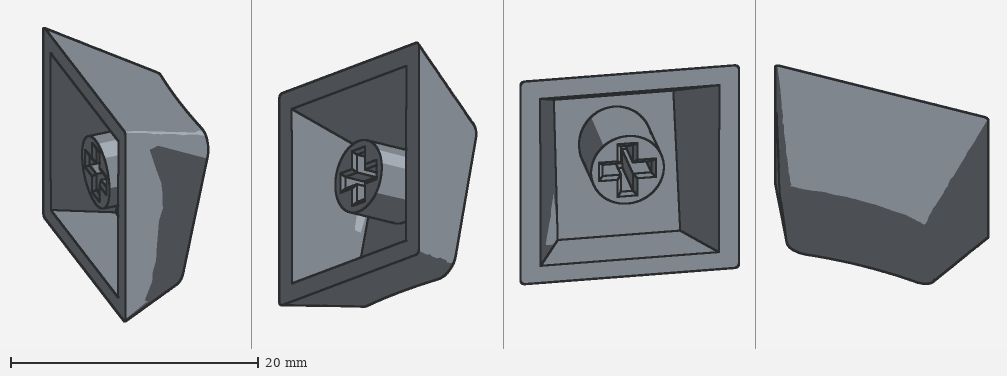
import cadquery as cq
import math

base_size = 18.0
base_corner_radius = 0.4

top_tilt = 11.6
top_width = 12.24
top_lower_z = -base_size / 2
top_upper_z = 4.9
top_lower_y = 5.9
top_corner_radius = 1.89
dish_depth = 0.43
top_edge_radius = 0.36

opening_upper_width = 14.76
opening_lower_width = 14.65
opening_upper_z = 7.35
cavity_lower_z = -7.47
floor_upper_width = 9.83
floor_lower_width = 10.08
floor_upper_z = 3.92
floor_lower_y = 4.73

stem_diameter = 6.0
stem_start_y = 0.99
cross_length = 4.66
cross_arm_width = 1.64
lead_in_inset = 0.32
lead_in_depth = 0.25

tilt_slope = math.tan(math.radians(top_tilt))


def face_plane(lower_y, lower_z, upper_z, slope):
    """Plane centred on a face that starts at (lower_y, lower_z) and rises toward +Z.

    Its local y axis climbs the face and its normal points to +Y.
    """
    middle_z = (lower_z + upper_z) / 2
    middle_y = lower_y + (middle_z - lower_z) * slope
    return cq.Plane(origin=(0, middle_y, middle_z), xDir=(-1, 0, 0), normal=(0, 1, -slope))


def tilted_length(lower_z, upper_z):
    return (upper_z - lower_z) / math.cos(math.radians(top_tilt))


def rectangle(plane, width, height, corner_radius=0):
    """Closed rectangular wire on a plane, with rounded corners if a radius is given."""
    face = cq.Face.makeFromWires(cq.Workplane(plane).rect(width, height).wires().val())
    if corner_radius > 0:
        face = face.fillet2D(corner_radius, face.Vertices())
    return face.outerWire()


def trapezoid(plane, lower_width, upper_width, height):
    """Closed symmetric trapezoid wire, centred on a plane."""
    corners = [
        (-lower_width / 2, -height / 2),
        (lower_width / 2, -height / 2),
        (upper_width / 2, height / 2),
        (-upper_width / 2, height / 2),
    ]
    return cq.Workplane(plane).polyline(corners).close().wires().val()


def ruled_loft(first_wire, second_wire):
    return cq.Workplane(obj=cq.Solid.makeLoft([first_wire, second_wire], True))


def make_body():
    base_plane = face_plane(0, -base_size / 2, base_size / 2, 0)
    top_plane = face_plane(top_lower_y, top_lower_z, top_upper_z, tilt_slope)
    top_length = tilted_length(top_lower_z, top_upper_z)
    body = ruled_loft(
        rectangle(base_plane, base_size, base_size, base_corner_radius),
        rectangle(top_plane, top_width, top_length, top_corner_radius),
    )

    dish_radius = ((top_width / 2) ** 2 + dish_depth**2) / (2 * dish_depth)
    axis_plane = cq.Plane(
        origin=top_plane.toWorldCoords((0, 0, dish_radius - dish_depth)),
        xDir=(1, 0, 0),
        normal=top_plane.yDir,
    )
    dish = cq.Workplane(axis_plane).circle(dish_radius).extrude(base_size, both=True)
    body = body.cut(dish)

    dish_bottom = top_plane.toWorldCoords((0, 0, -dish_depth))
    dish_face = body.faces(cq.selectors.NearestToPointSelector(dish_bottom.toTuple()))
    return dish_face.edges().fillet(top_edge_radius)


def make_cavity():
    opening_plane = face_plane(0, cavity_lower_z, opening_upper_z, 0)
    floor_plane = face_plane(floor_lower_y, cavity_lower_z, floor_upper_z, tilt_slope)
    return ruled_loft(
        trapezoid(
            opening_plane,
            opening_lower_width,
            opening_upper_width,
            opening_upper_z - cavity_lower_z,
        ),
        trapezoid(
            floor_plane,
            floor_lower_width,
            floor_upper_width,
            tilted_length(cavity_lower_z, floor_upper_z),
        ),
    )


def make_cross(plane, inset, depth):
    """Cross-shaped prism whose outline lies inside the socket mouth by the inset."""
    length = cross_length - 2 * inset
    arm_width = cross_arm_width - 2 * inset
    across = cq.Workplane(plane).rect(length, arm_width).extrude(depth)
    return across.union(cq.Workplane(plane).rect(arm_width, length).extrude(depth))


def make_stem():
    """Stem long enough to pass the cavity floor, with the socket cut along all of it."""
    stem_plane = cq.Plane(origin=(0, stem_start_y, 0), xDir=(-1, 0, 0), normal=(0, 1, 0))
    stem = cq.Workplane(stem_plane).circle(stem_diameter / 2).extrude(base_size)
    stem = stem.cut(make_cross(stem_plane, lead_in_inset, base_size))

    for length, width in ((cross_length, cross_arm_width), (cross_arm_width, cross_length)):
        narrow_plane = cq.Plane(stem_plane.toWorldCoords((0, 0, lead_in_depth)), (-1, 0, 0), (0, 1, 0))
        lead_in = ruled_loft(
            rectangle(stem_plane, length, width),
            rectangle(narrow_plane, length - 2 * lead_in_inset, width - 2 * lead_in_inset),
        )
        stem = stem.cut(lead_in)
    return stem


cavity = make_cavity()
result = make_body().cut(cavity).union(make_stem().intersect(cavity))